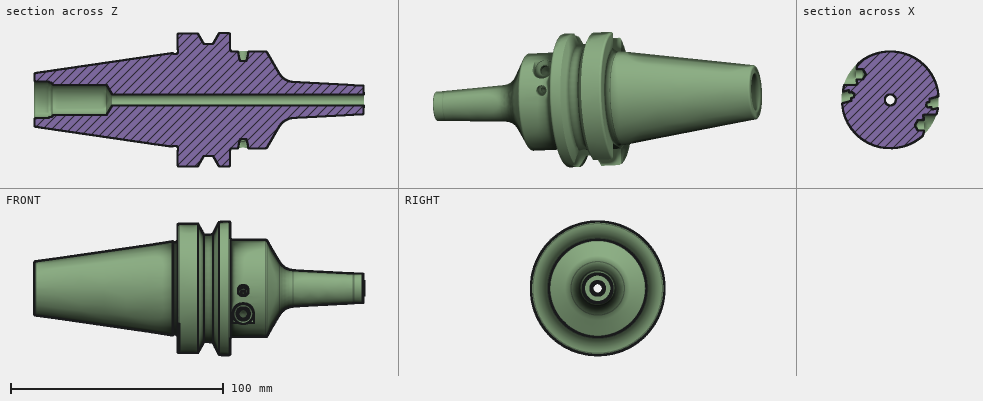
import cadquery as cq
import math

TAPER_LENGTH = 65.4
NOSE_X = 90.0
FLANGE_START_X = 2.0
FLANGE_END_X = 27.0
GROOVE_CENTER_X = 16.6
BODY_END_X = 44.0
SHANK_END_X = 84.6
TIP_FACE_X = 89.65

GAUGE_DIAMETER = 44.45
TAPER_RATIO = 7 / 24
TAPER_END_FILLET = 1.0
TAPER_STOP_X = -0.3
NECK_START_X = 0.1
NECK_DIAMETER = 43.5
NECK_FILLET = 1.0
FACE_RECESS_DIAMETER = 48.0
FACE_RECESS_DEPTH = 0.2
FACE_RECESS_CHAMFER = 0.4

FLANGE_DIAMETER = 63.0
FLANGE_FILLET = 1.0
GROOVE_DIAMETER = 53.0
GROOVE_FLOOR_WIDTH = 4.2
GROOVE_HALF_ANGLE = 30.0
KEYWAY_WIDTH = 16.1
KEYWAY_FLOOR_Z = 22.6
KEYWAY_END_X = 23.0

BODY_DIAMETER = 45.8
BODY_ROOT_FILLET = 0.75
BODY_SHOULDER_FILLET = 1.0
SHOULDER_ANGLE = 60.0
SHANK_ANGLE = 3.0
SHANK_END_DIAMETER = 14.25
SHANK_ROOT_FILLET = 8.0
TIP_DIAMETER = 14.0
TIP_STEP_LENGTH = 0.5
TIP_CHAMFER = 0.5
COLLET_DIAMETER = 6.8

BORE_MOUTH_FILLET = 1.0
BORE_DIAMETER = 17.0
BORE_DEPTH = 7.0
THREAD_RELIEF_DIAMETER = 16.0
THREAD_RELIEF_LENGTH = 1.0
THREAD_DIAMETER = 14.0
THREAD_DEPTH = 34.0
COOLANT_DIAMETER = 5.0
DRILL_POINT_ANGLE = 118.0

SCREW_X = 33.0
POCKET_WIDTH = 10.0
POCKET_Z = -12.0
POCKET_FLOOR_Y = -16.0
SCREW_RING_DIAMETER = 9.5
SCREW_HEAD_DIAMETER = 6.2
SCREW_RING_DEPTH = 0.6
SOCKET_DIAMETER = 4.62
SOCKET_DEPTH = 3.0
SET_SCREW_Z = -1.0
SET_SCREW_DIAMETER = 5.0
SET_SCREW_DEPTH = 4.0
SET_SCREW_TILT = 15.0
SET_SOCKET_DIAMETER = 2.31
SET_SOCKET_DEPTH = 1.5


def cone_depth(large_diameter, small_diameter):
    """Axial length of a drill point cone between two diameters."""
    return (large_diameter - small_diameter) / 2 / math.tan(math.radians(DRILL_POINT_ANGLE / 2))


def spin(profile):
    """Revolve a closed profile of the XY plane about the part axis."""
    return profile.revolve(360, (0, 0, 0), (1, 0, 0))


def revolve_about_x(points):
    return spin(cq.Workplane("XY").polyline(points).close())


def arc_sag(radius):
    """Distance from either tangent line of a quarter round to its middle point."""
    return radius * (1 - math.sqrt(0.5))


def taper_radius(x):
    return (GAUGE_DIAMETER + TAPER_RATIO * x) / 2


def make_taper():
    """Taper shank and neck, with a concave fillet where the neck meets the flange."""
    neck_radius = NECK_DIAMETER / 2
    recess_floor_x = FLANGE_START_X + FACE_RECESS_DEPTH
    sag = arc_sag(NECK_FILLET)
    taper = revolve_about_x([
        (-TAPER_LENGTH, 0),
        (-TAPER_LENGTH, taper_radius(-TAPER_LENGTH)),
        (TAPER_STOP_X, taper_radius(TAPER_STOP_X)),
        (NECK_START_X, neck_radius),
        (NECK_START_X, 0),
    ])
    taper = taper.faces("<X").edges().fillet(TAPER_END_FILLET)
    neck = spin(
        cq.Workplane("XY")
        .moveTo(NECK_START_X, 0)
        .lineTo(NECK_START_X, neck_radius)
        .lineTo(recess_floor_x - NECK_FILLET, neck_radius)
        .threePointArc((recess_floor_x - sag, neck_radius + sag), (recess_floor_x, neck_radius + NECK_FILLET))
        .lineTo(recess_floor_x, 0)
        .close()
    )
    return taper.union(neck)


def make_flange():
    radius = FLANGE_DIAMETER / 2
    groove_radius = GROOVE_DIAMETER / 2
    floor_start = GROOVE_CENTER_X - GROOVE_FLOOR_WIDTH / 2
    floor_end = GROOVE_CENTER_X + GROOVE_FLOOR_WIDTH / 2
    flank = (radius - groove_radius) * math.tan(math.radians(GROOVE_HALF_ANGLE))
    recess_floor_x = FLANGE_START_X + FACE_RECESS_DEPTH
    recess_radius = FACE_RECESS_DIAMETER / 2
    fillet = FLANGE_FILLET
    sag = arc_sag(fillet)
    return spin(
        cq.Workplane("XY")
        .moveTo(recess_floor_x, 0)
        .lineTo(recess_floor_x, recess_radius - FACE_RECESS_CHAMFER)
        .lineTo(FLANGE_START_X, recess_radius)
        .lineTo(FLANGE_START_X, radius - fillet)
        .threePointArc((FLANGE_START_X + sag, radius - sag), (FLANGE_START_X + fillet, radius))
        .lineTo(floor_start - flank, radius)
        .lineTo(floor_start, groove_radius)
        .lineTo(floor_end, groove_radius)
        .lineTo(floor_end + flank, radius)
        .lineTo(FLANGE_END_X - fillet, radius)
        .threePointArc((FLANGE_END_X - sag, radius - sag), (FLANGE_END_X, radius - fillet))
        .lineTo(FLANGE_END_X, 0)
        .close()
    )


def circle_near(point):
    """Selector for the circular edge that passes through an (x, radius) profile point."""
    x, radius = point
    margin = 0.1
    low = (x - margin, -radius, -radius)
    high = (x + margin, radius, radius)
    return cq.selectors.BoxSelector(low, high)


def make_body_and_nose():
    shank_end_radius = SHANK_END_DIAMETER / 2
    shank_slope = math.tan(math.radians(SHANK_ANGLE))
    shoulder_slope = math.tan(math.radians(SHOULDER_ANGLE))
    body_radius = BODY_DIAMETER / 2
    shank_radius_at_body_end = shank_end_radius + shank_slope * (SHANK_END_X - BODY_END_X)
    run = (body_radius - shank_radius_at_body_end) / (shoulder_slope - shank_slope)
    root = (BODY_END_X + run, body_radius - shoulder_slope * run)
    blank = revolve_about_x([
        (FLANGE_END_X, 0),
        (FLANGE_END_X, body_radius),
        (BODY_END_X, body_radius),
        root,
        (SHANK_END_X, shank_end_radius),
        (SHANK_END_X + TIP_STEP_LENGTH, TIP_DIAMETER / 2),
        (TIP_FACE_X - TIP_CHAMFER, TIP_DIAMETER / 2),
        (TIP_FACE_X, TIP_DIAMETER / 2 - TIP_CHAMFER),
        (TIP_FACE_X, COLLET_DIAMETER / 2),
        (NOSE_X, COLLET_DIAMETER / 2),
        (NOSE_X, 0),
    ])

    blank = blank.edges(circle_near(root)).fillet(SHANK_ROOT_FILLET)
    return blank.edges(circle_near((BODY_END_X, body_radius))).fillet(BODY_SHOULDER_FILLET)


def make_root_fillet():
    """Concave fillet ring between the flange face and the body."""
    body_radius = BODY_DIAMETER / 2
    fillet = BODY_ROOT_FILLET
    sag = arc_sag(fillet)
    return spin(
        cq.Workplane("XY")
        .moveTo(FLANGE_END_X, body_radius - fillet)
        .lineTo(FLANGE_END_X, body_radius + fillet)
        .threePointArc((FLANGE_END_X + sag, body_radius + sag), (FLANGE_END_X + fillet, body_radius))
        .lineTo(FLANGE_END_X + fillet, body_radius - fillet)
        .close()
    )


def make_bore():
    """Stepped bore with a rounded mouth, ending in a coolant hole through the nose."""
    start = -TAPER_LENGTH
    bore_radius = BORE_DIAMETER / 2
    fillet = BORE_MOUTH_FILLET
    sag = arc_sag(fillet)
    step_x = start + BORE_DEPTH
    relief_end = step_x + THREAD_RELIEF_LENGTH
    thread_start = relief_end + (THREAD_RELIEF_DIAMETER - THREAD_DIAMETER) / 2
    thread_end = start + THREAD_DEPTH
    return spin(
        cq.Workplane("XY")
        .moveTo(start, 0)
        .lineTo(start, bore_radius + fillet)
        .threePointArc((start + sag, bore_radius + sag), (start + fillet, bore_radius))
        .lineTo(step_x, bore_radius)
        .lineTo(step_x, THREAD_RELIEF_DIAMETER / 2)
        .lineTo(relief_end, THREAD_RELIEF_DIAMETER / 2)
        .lineTo(thread_start, THREAD_DIAMETER / 2)
        .lineTo(thread_end, THREAD_DIAMETER / 2)
        .lineTo(thread_end + cone_depth(THREAD_DIAMETER, COOLANT_DIAMETER), COOLANT_DIAMETER / 2)
        .lineTo(NOSE_X, COOLANT_DIAMETER / 2)
        .lineTo(NOSE_X, 0)
        .close()
    )


def make_keyway():
    """Drive slot in the top of the flange, open toward the taper, with a round end."""
    half_width = KEYWAY_WIDTH / 2
    return (
        cq.Workplane("XY", origin=(0, 0, KEYWAY_FLOOR_Z))
        .moveTo(0, -half_width)
        .lineTo(KEYWAY_END_X - half_width, -half_width)
        .threePointArc((KEYWAY_END_X, 0), (KEYWAY_END_X - half_width, half_width))
        .lineTo(0, half_width)
        .close()
        .extrude(FLANGE_DIAMETER / 2)
    )


def turned_about_y(points, z):
    """Solid turned about a line along Y through the screw centre; points are (radius, y)."""
    profile = cq.Workplane("XY", origin=(SCREW_X, 0, z)).polyline(points).close()
    return profile.revolve(360, (0, 0, 0), (0, 1, 0))


def make_screw_pocket():
    """Flat-floored pocket, round at the top and open below, with a recessed screw head."""
    half_width = POCKET_WIDTH / 2
    open_z = -BODY_DIAMETER / 2
    pocket = (
        cq.Workplane("XZ", origin=(SCREW_X, POCKET_FLOOR_Y, 0))
        .moveTo(-half_width, open_z)
        .lineTo(-half_width, POCKET_Z)
        .threePointArc((0, POCKET_Z + half_width), (half_width, POCKET_Z))
        .lineTo(half_width, open_z)
        .close()
        .extrude(BODY_DIAMETER / 2)
    )
    ring = turned_about_y([
        (SCREW_HEAD_DIAMETER / 2, POCKET_FLOOR_Y),
        (SCREW_RING_DIAMETER / 2, POCKET_FLOOR_Y),
        (SCREW_RING_DIAMETER / 2, POCKET_FLOOR_Y + SCREW_RING_DEPTH),
    ], POCKET_Z)
    socket_floor_y = POCKET_FLOOR_Y + SOCKET_DEPTH
    socket = turned_about_y([
        (0, POCKET_FLOOR_Y),
        (SOCKET_DIAMETER / 2, POCKET_FLOOR_Y),
        (SOCKET_DIAMETER / 2, socket_floor_y),
        (0, socket_floor_y + cone_depth(SOCKET_DIAMETER, 0)),
    ], POCKET_Z)
    return pocket.union(ring).union(socket)


def make_set_screw_hole():
    """Round hole sloping inward and down, with the socket of the set screw in its floor."""
    body_radius = BODY_DIAMETER / 2
    floor_y = -body_radius + SET_SCREW_DEPTH
    socket_floor_y = floor_y + SET_SOCKET_DEPTH
    hole = turned_about_y([
        (0, -body_radius - SET_SCREW_DIAMETER / 2),
        (SET_SCREW_DIAMETER / 2, -body_radius - SET_SCREW_DIAMETER / 2),
        (SET_SCREW_DIAMETER / 2, floor_y),
        (SET_SOCKET_DIAMETER / 2, floor_y),
        (SET_SOCKET_DIAMETER / 2, socket_floor_y),
        (0, socket_floor_y + cone_depth(SET_SOCKET_DIAMETER, 0)),
    ], SET_SCREW_Z)
    return hole.rotate((0, -body_radius, SET_SCREW_Z), (1, -body_radius, SET_SCREW_Z), -SET_SCREW_TILT)


def cut_on_both_sides(part, cutter):
    """Cut a feature and its copy half a turn around the part axis."""
    for angle in (0, 180):
        part = part.cut(cutter.rotate((0, 0, 0), (1, 0, 0), angle))
    return part


holder = make_taper().union(make_flange()).union(make_body_and_nose()).union(make_root_fillet())
holder = holder.cut(make_bore())
for side_cutter in (make_keyway(), make_screw_pocket(), make_set_screw_hole()):
    holder = cut_on_both_sides(holder, side_cutter)
result = holder